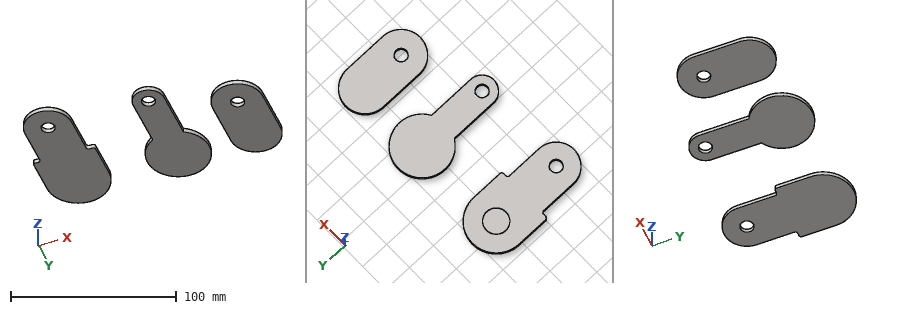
import cadquery as cq

thickness = 3.0
hole_diameter = 8.5
head_diameter = 40.0
arm_length = 50.0

cover_tail_width = 30.0
shoulder_drop = 23.7
shoulder_radius = 1.5
recess_diameter = 16.5
recess_depth = 1.0

paddle_arm_width = 20.0
paddle_x = 65.0

total_length = 151.0
link_width = 32.2
link_arm_length = 30.0
link_x = total_length - head_diameter / 2 - link_width / 2


def rounded_strip(width, centre_distance):
    """Round-ended plate from the origin down to y = -centre_distance."""
    return (
        cq.Workplane("XY")
        .center(0, -centre_distance / 2)
        .slot2D(centre_distance + width, width, 90)
        .extrude(thickness)
    )


def disc(diameter):
    return cq.Workplane("XY").circle(diameter / 2).extrude(thickness)


def drill_pivot(plate, centre_distance):
    """Cut the pivot hole through the lower end of a plate."""
    return plate.cut(disc(hole_diameter).translate((0, -centre_distance, 0)))


def make_cover():
    half_head = head_diameter / 2
    half_tail = cover_tail_width / 2
    tail_end = -arm_length - half_tail
    body = (
        cq.Workplane("XY")
        .moveTo(-half_head, 0)
        .threePointArc((0, half_head), (half_head, 0))
        .lineTo(half_head, -shoulder_drop)
        .lineTo(half_tail, -shoulder_drop)
        .lineTo(half_tail, -arm_length)
        .threePointArc((0, tail_end), (-half_tail, -arm_length))
        .lineTo(-half_tail, -shoulder_drop)
        .lineTo(-half_head, -shoulder_drop)
        .close()
        .extrude(thickness)
    )
    shoulder_corners = [
        (x, -shoulder_drop, thickness / 2)
        for x in (-half_head, -half_tail, half_tail, half_head)
    ]
    for corner in shoulder_corners:
        body = body.edges(cq.selectors.NearestToPointSelector(corner)).fillet(shoulder_radius)
    recess = (
        cq.Workplane("XY", origin=(0, 0, thickness - recess_depth))
        .circle(recess_diameter / 2)
        .extrude(recess_depth)
    )
    return drill_pivot(body.cut(recess), arm_length)


def make_paddle():
    body = disc(head_diameter).union(rounded_strip(paddle_arm_width, arm_length))
    return drill_pivot(body, arm_length).translate((paddle_x, 0, 0))


def make_link():
    body = rounded_strip(link_width, link_arm_length)
    return drill_pivot(body, link_arm_length).translate((link_x, 0, 0))


cover = make_cover()
paddle = make_paddle()
link = make_link()

result = cq.Compound.makeCompound([cover.val(), paddle.val(), link.val()])